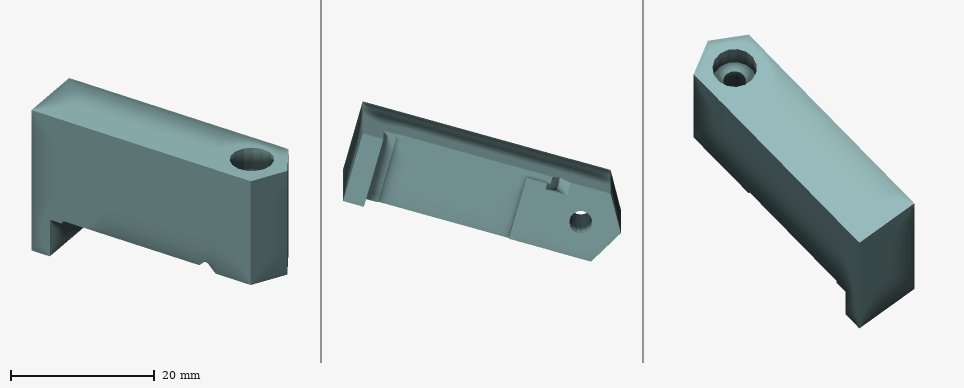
import cadquery as cq
import math

plate_thickness = 3.0
overall_height = 23.0

body_width = 10.0
body_end_x = 35.0
body_bottom_z = 6.0
body_height = overall_height - body_bottom_z
front_y = -body_width / 2

post_x = 33.0
post_corner_radius = 5.8
bore_facets = 15
hole_diameter = 3.2
counterbore_diameter = 6.2
counterbore_depth = 3.5

relief_height = 0.5
relief_start_x = 5.0
relief_end_x = 24.0
front_step_end_x = 29.0
front_step_width = 1.0

notch_half_width = 1.55
notch_right_x = post_x - post_corner_radius * math.cos(math.radians(60))
notch_length = 1.85

bar_length = 9.0
bar_width = 1.0
bar_height = 1.0
bar_angle = -60.0
bar_center = (19.22, -0.8)


def make_plate():
    return cq.Workplane("XY").box(
        plate_thickness, body_width, overall_height, centered=(False, True, False)
    )


def make_body():
    return (
        cq.Workplane("XY", origin=(plate_thickness, 0, body_bottom_z))
        .box(body_end_x - plate_thickness, body_width, body_height, centered=(False, True, False))
    )


def make_post():
    return (
        cq.Workplane("XY", origin=(post_x, 0, body_bottom_z))
        .polygon(6, 2 * post_corner_radius)
        .extrude(body_height)
    )


def make_bar():
    return (
        cq.Workplane("XY", origin=(*bar_center, overall_height))
        .transformed(rotate=(0, 0, bar_angle))
        .rect(bar_length, bar_width)
        .extrude(-bar_height)
    )


def make_relief():
    main_relief = (
        cq.Workplane("XY", origin=(relief_start_x, 0, body_bottom_z))
        .box(relief_end_x - relief_start_x, body_width, relief_height, centered=(False, True, False))
    )
    front_step = (
        cq.Workplane("XY", origin=(relief_start_x, front_y, body_bottom_z))
        .box(front_step_end_x - relief_start_x, front_step_width, relief_height, centered=False)
    )
    return main_relief.union(front_step)


def make_notch():
    apex_x = notch_right_x - notch_half_width
    return (
        cq.Workplane("XZ", origin=(0, front_y, 0))
        .moveTo(notch_right_x, body_bottom_z)
        .lineTo(apex_x, body_bottom_z + notch_half_width)
        .lineTo(apex_x - notch_half_width, body_bottom_z)
        .close()
        .extrude(-notch_length)
    )


def make_bore(diameter, depth):
    return (
        cq.Workplane("XY", origin=(post_x, 0, overall_height))
        .polygon(bore_facets, diameter)
        .extrude(-depth)
    )


notch = make_notch()
body = make_body().cut(make_relief()).cut(notch)
post = make_post().cut(notch)
result = make_plate()
for piece in (body, post, make_bar()):
    result = result.union(piece, clean=False)

bores = (
    make_bore(hole_diameter, body_height),
    make_bore(counterbore_diameter, counterbore_depth),
)
for bore in bores:
    result = result.cut(bore, clean=False)